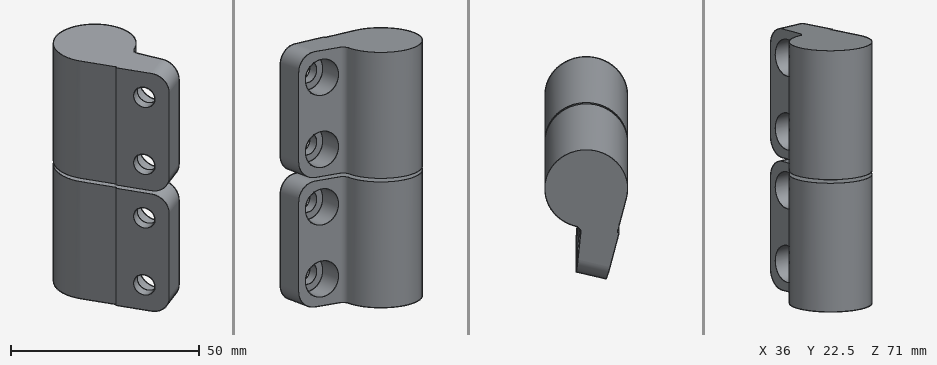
import cadquery as cq
import math

barrel_radius = 11.0

total_height = 71.0
gap = 1.0
leaf_height = (total_height - gap) / 2
leaf_reach = 25.0
step_x = 10.0
step_depth = 0.5
edge_thickness = 8.0
taper_angle = 8.3
root_fillet = 2.0
corner_radius = 5.0

hole_diameter = 5.95
hole_x = 17.95
hole_spacing = 20.0
head_diameter = 10.0
head_seat = 3.0

collar_radius = 6.95

mount_y = -barrel_radius - step_depth
edge_y = mount_y + edge_thickness


def leaf_profile():
    """Barrel and plate outline in the XY plane, with a rounded inner root."""
    taper = math.radians(taper_angle)
    back_y = edge_y + leaf_reach * math.tan(taper)
    centre_distance = barrel_radius + root_fillet
    offset_from_axis = back_y * math.cos(taper) + root_fillet
    centre_angle = math.asin(offset_from_axis / centre_distance) - taper
    centre_x = centre_distance * math.cos(centre_angle)
    centre_y = centre_distance * math.sin(centre_angle)

    def on_fillet(angle):
        return (centre_x + root_fillet * math.cos(angle), centre_y + root_fillet * math.sin(angle))

    barrel_angle = centre_angle + math.pi
    back_angle = 1.5 * math.pi - taper
    middle_angle = (barrel_angle + back_angle) / 2
    far_side = (centre_angle + 1.5 * math.pi) / 2
    return (
        cq.Workplane("XY")
        .moveTo(0, -barrel_radius)
        .lineTo(step_x, -barrel_radius)
        .lineTo(step_x, mount_y)
        .lineTo(leaf_reach, mount_y)
        .lineTo(leaf_reach, edge_y)
        .lineTo(*on_fillet(back_angle))
        .threePointArc(on_fillet(middle_angle), on_fillet(barrel_angle))
        .threePointArc(
            (barrel_radius * math.cos(far_side), barrel_radius * math.sin(far_side)),
            (0, -barrel_radius),
        )
        .close()
    )


def screw_hole(hole_z):
    """Cutter along +Y: screw clearance bore, then the counterbore through the back face."""
    mouth = cq.Workplane("XZ", origin=(hole_x, mount_y, hole_z))
    bore = mouth.circle(hole_diameter / 2).extrude(-edge_thickness)
    counterbore = mouth.workplane(offset=-head_seat).circle(head_diameter / 2).extrude(-2 * barrel_radius)
    return bore.union(counterbore)


def make_leaf(bottom_z):
    """One hinge leaf with rounded free corners and two counterbored screw holes."""
    leaf = leaf_profile().extrude(leaf_height)
    leaf = leaf.edges("|Y and >X").fillet(corner_radius)
    for side in (-1, 1):
        hole_z = leaf_height / 2 + side * hole_spacing / 2
        leaf = leaf.cut(screw_hole(hole_z))
    return leaf.translate((0, 0, bottom_z))


def make_lower_leaf():
    """Leaf with the collar on top of its barrel."""
    collar = cq.Workplane("XY").workplane(offset=leaf_height).circle(collar_radius).extrude(gap)
    return make_leaf(0).union(collar)


lower_leaf = make_lower_leaf()
upper_leaf = make_leaf(leaf_height + gap)

result = cq.Compound.makeCompound([lower_leaf.val(), upper_leaf.val()])